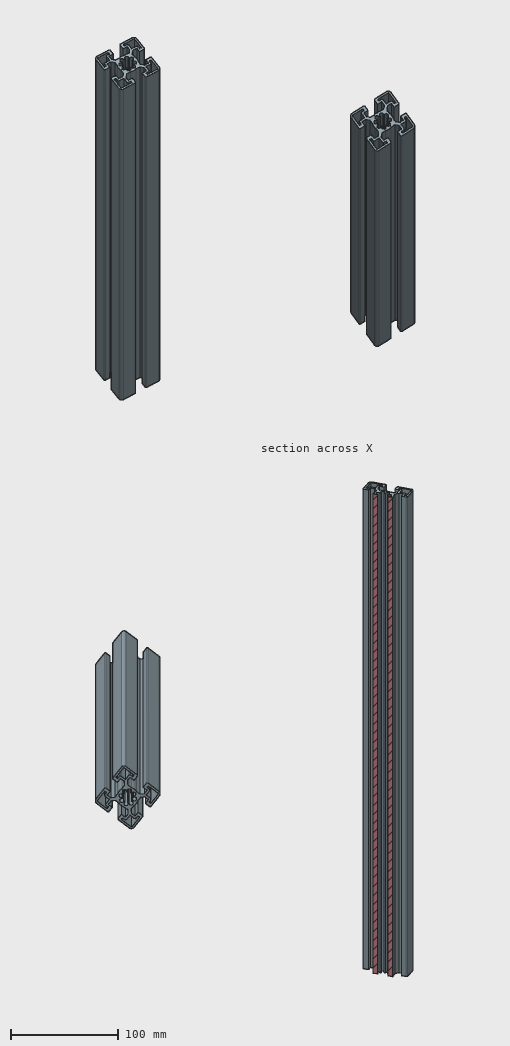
import cadquery as cq
import math

width = 45.0
length = 500.0
corner_radius = 3.05
half = width / 2

slot_half_width = 5.4
lip_thickness = 6.0
lip_edge_radius = 1.0
cavity_half_width = 10.05
core_half_width = 9.5
crown_radius = 10.0
web_chamfer = 2.75
lip_underside = half - lip_thickness

skin_thickness = 2.0
chamber_inner = 12.3
chamber_shoulder = 11.85
chamber_drop = 1.5
chamber_tail_end = 8.5
chamber_tail_height = 1.95

bore_radius = 5.18
lobe_radius = 1.86
lobe_distance = 5.87
lobe_offset = 2.55


def four_fold(shape):
    """Join four copies of a shape turned about the bar's axis."""
    combined = shape
    for quarter in range(1, 4):
        combined = combined.union(shape.rotate((0, 0, 0), (0, 0, 1), 90 * quarter))
    return combined


def slot():
    """T-slot open to +Y, with a floor crowned around the bar's axis."""
    crown_half_width = math.sqrt(crown_radius**2 - core_half_width**2)
    floor_end = cavity_half_width - web_chamfer
    wall_foot = core_half_width + web_chamfer
    lip_edge_start = half - lip_edge_radius
    return (
        cq.Workplane("XY")
        .moveTo(-crown_half_width, core_half_width)
        .threePointArc((0, crown_radius), (crown_half_width, core_half_width))
        .lineTo(floor_end, core_half_width)
        .lineTo(cavity_half_width, wall_foot)
        .lineTo(cavity_half_width, lip_underside)
        .lineTo(slot_half_width, lip_underside)
        .lineTo(slot_half_width, lip_edge_start)
        .radiusArc((slot_half_width + lip_edge_radius, half), lip_edge_radius)
        .lineTo(-slot_half_width - lip_edge_radius, half)
        .radiusArc((-slot_half_width, lip_edge_start), lip_edge_radius)
        .lineTo(-slot_half_width, lip_underside)
        .lineTo(-cavity_half_width, lip_underside)
        .lineTo(-cavity_half_width, wall_foot)
        .lineTo(-floor_end, core_half_width)
        .close()
        .extrude(length)
    )


def corner_chamber():
    """Hollow of the +X +Y corner, with a thin tail running into each lip."""
    outer = half - skin_thickness
    tail_floor = outer - chamber_tail_height
    bend = tail_floor - chamber_drop
    return (
        cq.Workplane("XY")
        .moveTo(chamber_inner, chamber_inner)
        .lineTo(bend, chamber_inner)
        .lineTo(tail_floor, chamber_shoulder)
        .lineTo(tail_floor, chamber_tail_end)
        .lineTo(outer, chamber_tail_end)
        .lineTo(outer, outer)
        .lineTo(chamber_tail_end, outer)
        .lineTo(chamber_tail_end, tail_floor)
        .lineTo(chamber_shoulder, tail_floor)
        .lineTo(chamber_inner, bend)
        .close()
        .extrude(length)
    )


def bore():
    """Central round bore with a pair of round lobes on each of its four sides."""
    lobes = (
        cq.Workplane("XY")
        .pushPoints([(lobe_distance, lobe_offset), (lobe_distance, -lobe_offset)])
        .circle(lobe_radius)
        .extrude(length)
    )
    return four_fold(lobes).union(cq.Workplane("XY").circle(bore_radius).extrude(length))


bar = cq.Workplane("XY").rect(width, width).extrude(length).edges("|Z").fillet(corner_radius)
result = bar.cut(four_fold(slot())).cut(four_fold(corner_chamber())).cut(bore())